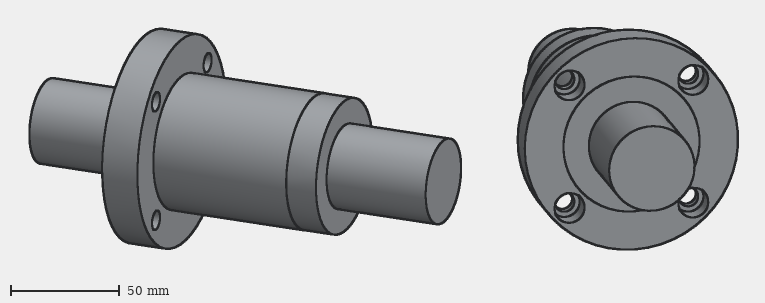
import cadquery as cq

shaft_length = 200.0
shaft_diameter = 40.0

nut_length = 100.0
nut_start = (shaft_length - nut_length) / 2
nut_end = nut_start + nut_length
bore_diameter = shaft_diameter

ring_diameter = 63.8
ring_length = 15.0
ring_protrusion = 0.2

housing_diameter = 64.0
housing_start = nut_start + ring_protrusion
housing_end = nut_end - ring_length
flange_diameter = 100.0
flange_thickness = 17.8

hole_count = 4
hole_circle_diameter = 82.0
hole_diameter = 9.0
counterbore_diameter = 14.0
counterbore_depth = 12.0


def cylinder(start, length, diameter):
    """Solid cylinder on the X axis, running in +X from start."""
    return cq.Workplane("YZ", origin=(start, 0, 0)).circle(diameter / 2).extrude(length)


def make_shaft():
    return cylinder(0, shaft_length, shaft_diameter)


def make_seal_ring(start):
    ring = cylinder(start, ring_length, ring_diameter)
    return ring.cut(cylinder(start, ring_length, bore_diameter))


def mounting_hole_cutters(diameter, depth):
    """Cylinders on the hole circle, sunk into the front face of the flange."""
    circle_radius = hole_circle_diameter / 2
    return (
        cq.Workplane("YZ", origin=(housing_start, 0, 0))
        .polarArray(circle_radius, 180 / hole_count, 360, hole_count)
        .circle(diameter / 2)
        .extrude(depth)
    )


def make_housing():
    housing_length = housing_end - housing_start
    body = cylinder(housing_start, housing_length, housing_diameter)
    flange = cylinder(housing_start, flange_thickness, flange_diameter)
    housing = body.union(flange)

    housing = housing.cut(cylinder(housing_start, housing_length, bore_diameter))
    housing = housing.cut(cylinder(nut_start, ring_length, ring_diameter))

    housing = housing.cut(mounting_hole_cutters(hole_diameter, flange_thickness))
    return housing.cut(mounting_hole_cutters(counterbore_diameter, counterbore_depth))


shaft = make_shaft()
housing = make_housing()
seal_rings = [make_seal_ring(start) for start in (nut_start, housing_end)]

result = cq.Compound.makeCompound(
    [shaft.val(), housing.val(), *[ring.val() for ring in seal_rings]]
)